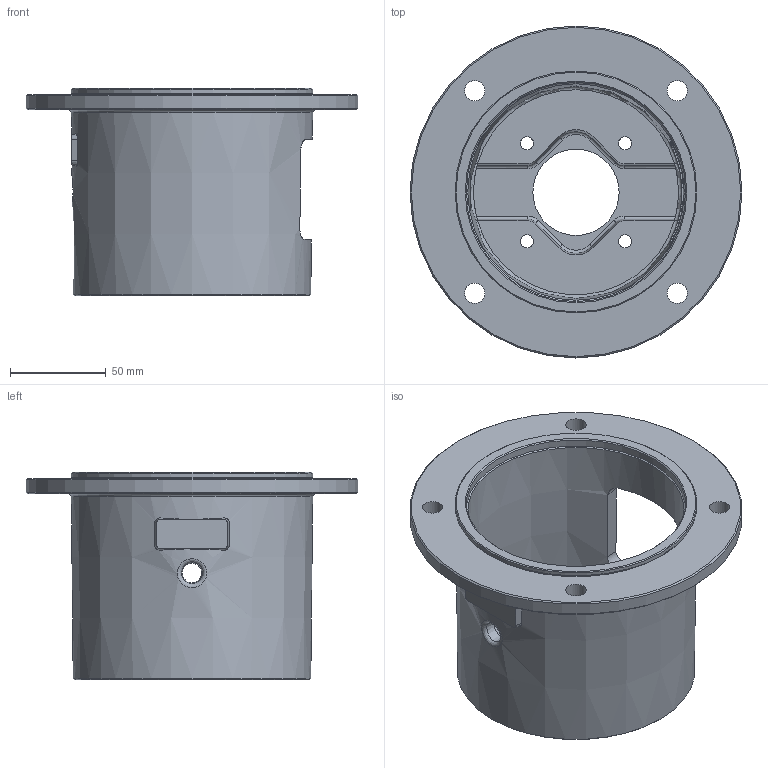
import cadquery as cq
import math

tolerance = 0.1

height = 107.95
flange_diameter = 172.97
flange_thickness = 8.0
flange_top_chamfer = 0.7
flange_bottom_chamfer = 0.9
pilot_height = 3.175
pilot_diameter = 126.0
pilot_chamfer = 0.5
pilot_groove_width = 0.6
pilot_groove_depth = 0.4

barrel_top_radius = 62.9
barrel_bottom_radius = 61.9
barrel_bottom_chamfer = 0.5
flange_root_fillet = 1.5

counterbore_diameter = 114.2
counterbore_depth = 4.4
counterbore_chamfer = 0.6
counterbore_step_height = 0.5
bore_top_radius = 56.4
bore_bottom_radius = 55.2
bore_floor_fillet = 1.8

channel_floor_height = 12.7
pad_height = 22.7
channel_half_width = 13.8
channel_lobe_radius = 11.5
channel_lobe_offset = 20.1
channel_corner_radius = 6.0
channel_draft = 6.0
channel_floor_fillet = 1.6
shaft_hole_diameter = 45.0

flange_hole_diameter = 10.5
flange_hole_offset = 52.8
pad_hole_diameter = 6.8
pad_hole_offset = 25.55

window_plane = 63.0
window_width = 55.0
window_draft = 6.0
window_bottom = 28.9
window_top = 81.6
window_corner_radius = 5.5
side_hole_height = 55.5
side_hole_outer_radius = 5.7
side_hole_inner_radius = 4.9
side_hole_fillet = 2.0

plate_width = 37.0
plate_bottom = 68.2
plate_top = 83.5
plate_corner_radius = 2.0
plate_draft = 16.0
plate_face_x = -63.0
plate_root_x = -58.0

pilot_base_height = height - pilot_height
flange_bottom_height = pilot_base_height - flange_thickness
counterbore_floor_height = height - counterbore_depth
window_center_height = (window_bottom + window_top) / 2


def frustum(bottom_radius, top_radius, bottom_height, top_height):
    """Solid of revolution about Z with a straight, possibly tapered, side."""
    return (
        cq.Workplane("YZ")
        .polyline([
            (0, bottom_height),
            (bottom_radius, bottom_height),
            (top_radius, top_height),
            (0, top_height),
        ])
        .close()
        .revolve(360, (0, 0, 0), (0, 1, 0))
    )


def outer_body():
    barrel = frustum(barrel_bottom_radius, barrel_top_radius, 0, flange_bottom_height)
    barrel = barrel.faces("<Z").chamfer(barrel_bottom_chamfer)
    flange_radius = flange_diameter / 2
    flange = frustum(flange_radius, flange_radius, flange_bottom_height, pilot_base_height)
    flange = flange.faces(">Z").chamfer(flange_top_chamfer)
    flange = flange.faces("<Z").chamfer(flange_bottom_chamfer)
    pilot_radius = pilot_diameter / 2
    groove_radius = pilot_radius - pilot_groove_depth
    groove_top = pilot_base_height + pilot_groove_width
    pilot_neck = frustum(groove_radius, groove_radius, pilot_base_height, groove_top)
    pilot = frustum(pilot_radius, pilot_radius, groove_top, height)
    pilot = pilot.faces(">Z").chamfer(pilot_chamfer)
    body = barrel.union(flange).union(pilot_neck).union(pilot)
    root_slab = cq.selectors.BoxSelector(
        (-pilot_radius, -pilot_radius, flange_bottom_height - tolerance),
        (pilot_radius, pilot_radius, flange_bottom_height + tolerance),
        boundingbox=True,
    )
    return body.edges(root_slab).fillet(flange_root_fillet)


def bore():
    """Cavity above the pads, open at the pilot."""
    step_bottom = counterbore_floor_height - counterbore_step_height
    counterbore_radius = counterbore_diameter / 2
    cavity = frustum(bore_bottom_radius, bore_top_radius, pad_height, step_bottom)
    cavity = cavity.faces("<Z").edges().fillet(bore_floor_fillet)
    step = frustum(bore_top_radius, counterbore_radius, step_bottom, counterbore_floor_height)
    counterbore = frustum(counterbore_radius, counterbore_radius, counterbore_floor_height, height)
    mouth = frustum(
        counterbore_radius,
        counterbore_radius + counterbore_chamfer,
        height - counterbore_chamfer,
        height,
    )
    return cavity.union(step).union(counterbore).union(mouth)


def channel():
    """Drafted channel between the pads, trimmed to the round bore."""
    straight_length = 2 * bore_top_radius
    depth = pad_height - channel_floor_height
    tangent = channel_lobe_radius * math.sqrt(0.5)
    flank_top = channel_lobe_offset + tangent
    flank_foot = tangent + flank_top - channel_half_width
    outline = (
        cq.Workplane("XY", origin=(0, 0, channel_floor_height))
        .moveTo(-flank_foot, -channel_half_width)
        .lineTo(-tangent, -flank_top)
        .threePointArc((0, -channel_lobe_offset - channel_lobe_radius), (tangent, -flank_top))
        .lineTo(flank_foot, -channel_half_width)
        .lineTo(straight_length, -channel_half_width)
        .lineTo(straight_length, channel_half_width)
        .lineTo(flank_foot, channel_half_width)
        .lineTo(tangent, flank_top)
        .threePointArc((0, channel_lobe_offset + channel_lobe_radius), (-tangent, flank_top))
        .lineTo(-flank_foot, channel_half_width)
        .lineTo(-straight_length, channel_half_width)
        .lineTo(-straight_length, -channel_half_width)
        .close()
        .extrude(depth, taper=-channel_draft)
    )
    corners = cq.selectors.BoxSelector(
        (-bore_bottom_radius, -flank_top, channel_floor_height),
        (bore_bottom_radius, flank_top, pad_height),
    )
    corner_edges = outline.edges(corners).edges("not #Z")
    corner_edges = corner_edges.filter(lambda edge: abs(edge.Center().x) > channel_half_width)
    cut = outline.newObject(corner_edges.vals()).fillet(channel_corner_radius)
    cut = cut.faces("<Z").edges().fillet(channel_floor_fillet)
    limit = frustum(
        bore_bottom_radius, bore_bottom_radius, channel_floor_height, pad_height + bore_floor_fillet
    )
    limit = limit.faces("<Z").edges().fillet(bore_floor_fillet)
    return cut.intersect(limit)


def square_pattern_holes(offset, diameter, bottom, depth):
    return (
        cq.Workplane("XY", origin=(0, 0, bottom))
        .rect(2 * offset, 2 * offset, forConstruction=True)
        .vertices()
        .circle(diameter / 2)
        .extrude(depth)
    )


def window():
    """Rounded rectangular opening through the +X wall, narrowing inward."""
    wall_depth = window_plane - bore_bottom_radius / 2
    return (
        cq.Workplane("YZ", origin=(window_plane, 0, window_center_height))
        .rect(window_width, window_top - window_bottom)
        .extrude(-wall_depth, taper=window_draft)
        .edges("not #X")
        .fillet(window_corner_radius)
    )


def name_plate():
    return (
        cq.Workplane("YZ", origin=(plate_face_x, 0, (plate_bottom + plate_top) / 2))
        .sketch()
        .rect(plate_width, plate_top - plate_bottom)
        .vertices()
        .fillet(plate_corner_radius)
        .finalize()
        .extrude(plate_root_x - plate_face_x, taper=-plate_draft)
    )


def cut_side_hole(body):
    """Drafted hole through the -X wall with a rounded outer mouth."""
    outer_x = -pilot_diameter / 2
    inner_x = -bore_bottom_radius + bore_floor_fillet
    mid_wall_x = -(barrel_bottom_radius + bore_top_radius) / 2
    hole = (
        cq.Workplane("YZ", origin=(outer_x, 0, side_hole_height))
        .circle(side_hole_outer_radius)
        .workplane(offset=inner_x - outer_x)
        .circle(side_hole_inner_radius)
        .loft()
    )
    cut = body.cut(hole)
    reach = 2 * side_hole_outer_radius
    mouth = cq.selectors.BoxSelector(
        (outer_x, -reach, side_hole_height - reach),
        (mid_wall_x, reach, side_hole_height + reach),
    )
    return cut.edges(mouth).edges("not %LINE").fillet(side_hole_fillet)


body = outer_body().cut(bore()).cut(channel())
body = body.cut(cq.Workplane("XY").circle(shaft_hole_diameter / 2).extrude(pad_height))
body = body.cut(square_pattern_holes(pad_hole_offset, pad_hole_diameter, 0, pad_height))
body = body.cut(
    square_pattern_holes(
        flange_hole_offset, flange_hole_diameter, flange_bottom_height, flange_thickness
    )
)
body = body.cut(window())
body = cut_side_hole(body)
result = body.union(name_plate())